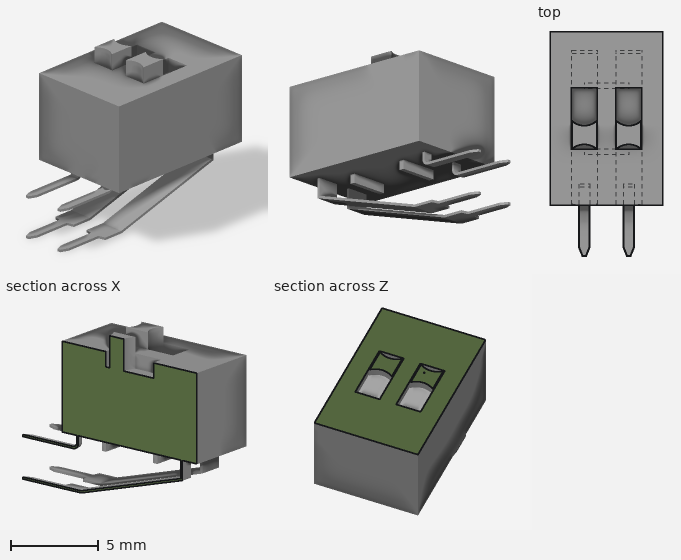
import cadquery as cq
import math


body_width = 6.44
body_length = 9.91
body_height = 5.44
overall_length = 12.8
overall_depth_below = 3.37

pitch = 2.53
column_x = (-pitch / 2, pitch / 2)

slot_width = 1.48
slot_length = 3.48
slot_depth = 0.91
slider_width = 1.4
slider_length = 1.6
slider_height = 1.0
slider_hollow = 0.27

rib_length = pitch
rib_thickness = 0.31
rib_height = 0.55
rib_offset = 1.88

sheet = 0.15
row_spacing = 7.62
pin_width = 0.6
tip_width = 0.2
taper_length = 0.5
short_lead_drop = 0.83
inner_bend_radius = 0.25
wide_width = 1.5
elbow_drop = 1.08
slope_end_inset = 1.4
shoulder_inset = 0.1
embed = 0.13

front_y = -body_length / 2
tip_y = front_y - (overall_length - body_length)


def make_housing():
    """Block with one rectangular slot per switch and two ribs below."""
    housing = cq.Workplane("XY").box(
        body_width, body_length, body_height, centered=(True, True, False)
    )
    slots = (
        cq.Workplane("XY", origin=(0, 0, body_height - slot_depth))
        .pushPoints([(x, 0) for x in column_x])
        .rect(slot_width, slot_length)
        .extrude(slot_depth)
    )
    ribs = (
        cq.Workplane("XY")
        .pushPoints([(0, -rib_offset), (0, rib_offset)])
        .rect(rib_length, rib_thickness)
        .extrude(-rib_height)
    )
    return housing.cut(slots).union(ribs)


def make_slider(x):
    """Slider with concave ends, resting at the front end of its slot."""
    half = slider_width / 2
    near_y = -slot_length / 2
    far_y = near_y + slider_length
    return (
        cq.Workplane("XY", origin=(x, 0, body_height - slot_depth))
        .moveTo(-half, near_y)
        .threePointArc((0, near_y + slider_hollow), (half, near_y))
        .lineTo(half, far_y)
        .threePointArc((0, far_y - slider_hollow), (-half, far_y))
        .close()
        .extrude(slot_depth + slider_height)
    )


def extrude_across(profile, x, width):
    """Extrude a closed YZ profile to a strip of the given width centred on x."""
    return profile.extrude(width / 2, both=True).translate((x, 0, 0))


def trim_to_plan(strip, x, half_outline):
    """Keep the part of a strip inside a plan outline mirrored about its axis."""
    left_side = [(-half_x, y) for half_x, y in reversed(half_outline)]
    plan = (
        cq.Workplane("XY", origin=(x, 0, -overall_depth_below))
        .polyline(half_outline + left_side)
        .close()
        .extrude(overall_depth_below + embed)
    )
    return strip.intersect(plan)


def tip_outline():
    """Right half of the pointed pin end, from the straight side to the tip."""
    return [(pin_width / 2, tip_y + taper_length), (tip_width / 2, tip_y)]


def make_short_lead(x):
    """Narrow front-row lead with one rounded right-angle bend."""
    back_y = -row_spacing / 2 + sheet / 2
    bottom_z = -short_lead_drop
    outer_radius = inner_bend_radius + sheet
    profile = (
        cq.Workplane("YZ")
        .moveTo(back_y, embed)
        .lineTo(back_y, bottom_z + outer_radius)
        .radiusArc((back_y - outer_radius, bottom_z), outer_radius)
        .lineTo(tip_y, bottom_z)
        .lineTo(tip_y, bottom_z + sheet)
        .lineTo(back_y - outer_radius, bottom_z + sheet)
        .radiusArc((back_y - sheet, bottom_z + outer_radius), -inner_bend_radius)
        .lineTo(back_y - sheet, embed)
        .close()
    )
    strip = extrude_across(profile, x, pin_width)
    return trim_to_plan(strip, x, [(pin_width / 2, back_y)] + tip_outline())


def make_long_lead(x):
    """Back-row lead: wide strip sloping under the housing, narrowing to a pin."""
    back_y = row_spacing / 2 + sheet / 2
    inner_y = back_y - sheet
    bottom_z = -overall_depth_below
    flat_z = bottom_z + sheet
    slope_end_y = front_y + slope_end_inset
    slope = math.atan2(-elbow_drop - flat_z, inner_y - slope_end_y)
    outer_elbow_z = -elbow_drop + sheet * math.tan(slope) - sheet / math.cos(slope)
    profile = (
        cq.Workplane("YZ")
        .moveTo(back_y, embed)
        .lineTo(back_y, outer_elbow_z)
        .lineTo(slope_end_y + sheet * math.tan(slope / 2), bottom_z)
        .lineTo(tip_y, bottom_z)
        .lineTo(tip_y, flat_z)
        .lineTo(slope_end_y, flat_z)
        .lineTo(inner_y, -elbow_drop)
        .lineTo(inner_y, embed)
        .close()
    )
    strip = extrude_across(profile, x, wide_width)
    shoulder = [
        (wide_width / 2, back_y),
        (wide_width / 2, front_y + shoulder_inset),
        (pin_width / 2, front_y),
    ]
    return trim_to_plan(strip, x, shoulder + tip_outline())


result = make_housing()
for column in column_x:
    result = result.union(make_slider(column))
    result = result.union(make_short_lead(column))
    result = result.union(make_long_lead(column))